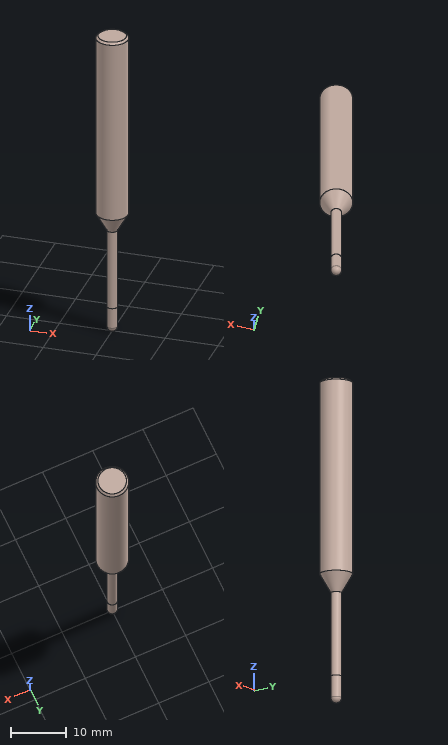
import cadquery as cq
import math

total_length = 60.0
shank_diameter = 6.0
shank_bottom = 24.0
shank_chamfer = 0.4
neck_diameter = 2.0
taper_half_angle = 30.0
head_length = 5.0

shank_radius = shank_diameter / 2
neck_radius = neck_diameter / 2
ball_radius = neck_radius
taper_length = (shank_radius - neck_radius) / math.tan(math.radians(taper_half_angle))
taper_bottom = shank_bottom - taper_length


def revolve_about_z(profile):
    """Turn a closed radius-height profile a full revolution about Z."""
    return profile.revolve(360, (0, 0, 0), (0, 1, 0))


def make_holder():
    """Chamfered shank, conical taper and slender neck, ending flat on the head."""
    profile = (
        cq.Workplane("XZ")
        .moveTo(0, head_length)
        .lineTo(neck_radius, head_length)
        .lineTo(neck_radius, taper_bottom)
        .lineTo(shank_radius, shank_bottom)
        .lineTo(shank_radius, total_length - shank_chamfer)
        .lineTo(shank_radius - shank_chamfer, total_length)
        .lineTo(0, total_length)
        .close()
    )
    return revolve_about_z(profile)


def make_cutting_head():
    """Short cylinder with a hemispherical tip."""
    arc_offset = ball_radius * math.sqrt(0.5)
    profile = (
        cq.Workplane("XZ")
        .moveTo(0, 0)
        .threePointArc((arc_offset, ball_radius - arc_offset), (ball_radius, ball_radius))
        .lineTo(ball_radius, head_length)
        .lineTo(0, head_length)
        .close()
    )
    return revolve_about_z(profile)


holder = make_holder()
cutting_head = make_cutting_head()

result = cq.Compound.makeCompound([holder.val(), cutting_head.val()])